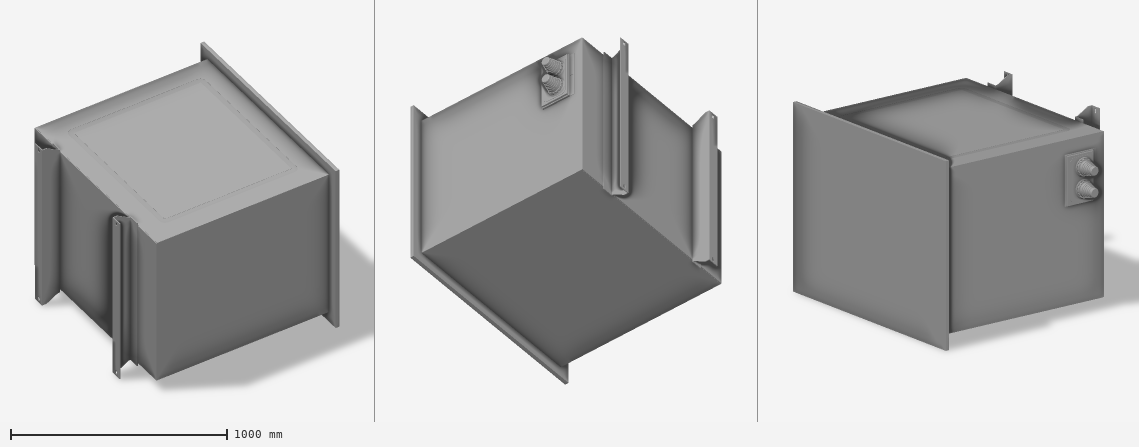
import cadquery as cq
import math

PLATE_WIDTH = 1150.0
PLATE_HEIGHT = 920.0
PLATE_THICKNESS = 20.0

BODY_WIDTH = 1035.0
BODY_HEIGHT = 806.0
OVERALL_DEPTH = 1071.2
CHANNEL_DEPTH = 100.0
SHEET_THICKNESS = 4.0
SHEET_INSET = 1.0
BODY_FRONT_Y = -(OVERALL_DEPTH - CHANNEL_DEPTH)
BODY_LENGTH = -BODY_FRONT_Y - PLATE_THICKNESS - SHEET_THICKNESS

ROOF_WIDTH = 830.0
ROOF_LENGTH = 755.0
ROOF_RADIUS = 30.0
ROOF_BORDER_X = 29.0
ROOF_BORDER_Y = 28.0
ROOF_GROOVE_DEPTH = 1.0
ROOF_CENTRE_Y = -490.5

CHANNEL_WEB_X = 300.0
CHANNEL_WIDTH = 60.0
CHANNEL_THICKNESS = 4.0
CHANNEL_OUTER_HEIGHT = 910.0
CHANNEL_INNER_FLAT = 12.0
CHANNEL_OUTER_FLAT = 25.0
CHANNEL_END_ANGLE = 30.0
SLOT_WIDTH = 12.0
SLOT_LENGTH = 24.0
SLOT_END_DISTANCE = 20.0

ENTRY_CENTRE_Z = 207.5
ENTRY_REAR_Y = -740.0
FRAME_WIDTH = 161.0
FRAME_HEIGHT = 249.0
FRAME_BASE_THICKNESS = 10.0
FRAME_STEP = 5.0
FRAME_TOP_THICKNESS = 10.0
PAD_WIDTH = 127.0
PAD_HEIGHT = 216.0
PAD_THICKNESS = 1.5
PAD_RADIUS = 20.0
PAD_REAR_Y = -760.0
STRIP_WIDTH = 23.0
STRIP_BASE_THICKNESS = 1.0
STRIP_LEAF_THICKNESS = 1.8
STRIP_MARGIN = 4.0
STRIP_GAP_SHIFT = 3.0

GROMMET_SPACING = 106.0
GROMMET_Y = -836.0
GROMMET_REACH = 106.8
TIP_RADIUS = 23.0
TIP_LENGTH = 16.0
TIP_CHAMFER = 3.0
STEP_LENGTH = 9.5
STEP_RISE = 2.6
STEP_COUNT = 5
COLLAR_RADIUS = 42.0
COLLAR_LENGTH = 15.0
FLANGE_RADIUS = 48.0
FLANGE_TOP_RADIUS = 44.0
FLANGE_LENGTH = 4.0
NOTCH_COUNT = 14
NOTCH_WIDTH = 9.0
NOTCH_DEPTH = 3.0
NOTCH_LENGTH = 10.0

SIDE_X = -BODY_WIDTH / 2
FRAME_FACE_X = SIDE_X - FRAME_BASE_THICKNESS - FRAME_TOP_THICKNESS
PAD_FACE_X = FRAME_FACE_X - PAD_THICKNESS
GROMMET_LENGTH = GROMMET_REACH - (SIDE_X - PAD_FACE_X)


def block(x_range, y_range, z_range):
    """Axis-aligned box given by its limits."""
    sizes = [high - low for low, high in (x_range, y_range, z_range)]
    corner = (x_range[0], y_range[0], z_range[0])
    return cq.Workplane("XY").box(*sizes, centered=False).translate(corner)


def wall_block(inner_x, thickness, y_range, height):
    """Box standing on the -X side, centred on the cable entry's height."""
    z_range = (ENTRY_CENTRE_Z - height / 2, ENTRY_CENTRE_Z + height / 2)
    return block((inner_x - thickness, inner_x), y_range, z_range)


def make_cabinet():
    half_width = BODY_WIDTH / 2
    half_height = BODY_HEIGHT / 2
    half_sheet = half_height - SHEET_INSET
    sheet_back_y = BODY_FRONT_Y + SHEET_THICKNESS
    plate = block(
        (-PLATE_WIDTH / 2, PLATE_WIDTH / 2),
        (-PLATE_THICKNESS, 0),
        (-PLATE_HEIGHT / 2, PLATE_HEIGHT / 2),
    )
    body = block(
        (-half_width, half_width),
        (sheet_back_y, sheet_back_y + BODY_LENGTH),
        (-half_height, half_height),
    )
    sheet = block((-half_width, half_width), (BODY_FRONT_Y, sheet_back_y), (-half_sheet, half_sheet))
    return plate.union(body).union(sheet)


def make_roof_groove():
    floor = cq.Workplane("XY", origin=(0, ROOF_CENTRE_Y, BODY_HEIGHT / 2 - ROOF_GROOVE_DEPTH))
    recess = floor.rect(ROOF_WIDTH, ROOF_LENGTH).extrude(ROOF_GROOVE_DEPTH).edges("|Z").fillet(ROOF_RADIUS)
    inner_width = ROOF_WIDTH - 2 * ROOF_BORDER_X
    inner_length = ROOF_LENGTH - 2 * ROOF_BORDER_Y
    return recess.cut(floor.rect(inner_width, inner_length).extrude(ROOF_GROOVE_DEPTH))


def make_channel():
    """Channel on the +X half: its web faces the centre and its flanges point outwards."""
    front_y = -OVERALL_DEPTH
    slope_start_y = BODY_FRONT_Y - CHANNEL_INNER_FLAT
    slope_end_y = front_y + CHANNEL_OUTER_FLAT
    slope_drop = (slope_start_y - slope_end_y) * math.tan(math.radians(CHANNEL_END_ANGLE))
    outer_z = CHANNEL_OUTER_HEIGHT / 2
    inner_z = outer_z - slope_drop
    upper_edge = [
        (BODY_FRONT_Y, inner_z),
        (slope_start_y, inner_z),
        (slope_end_y, outer_z),
        (front_y, outer_z),
    ]
    lower_edge = [(y, -z) for y, z in reversed(upper_edge)]
    side = cq.Workplane("YZ", origin=(CHANNEL_WEB_X, 0, 0))
    channel = side.polyline(upper_edge + lower_edge).close().extrude(CHANNEL_WIDTH)
    hollow = block(
        (CHANNEL_WEB_X + CHANNEL_THICKNESS, CHANNEL_WEB_X + CHANNEL_WIDTH),
        (front_y + CHANNEL_THICKNESS, BODY_FRONT_Y - CHANNEL_THICKNESS),
        (-outer_z, outer_z),
    )
    slot_z = outer_z - SLOT_END_DISTANCE
    slots = (
        cq.Workplane("XZ", origin=(CHANNEL_WEB_X + CHANNEL_WIDTH / 2, front_y + CHANNEL_THICKNESS, 0))
        .pushPoints([(0, slot_z), (0, -slot_z)])
        .slot2D(SLOT_LENGTH, SLOT_WIDTH, 90)
        .extrude(CHANNEL_THICKNESS)
    )
    return channel.cut(hollow).cut(slots)


def make_entry_frame():
    """Stepped frame with a rounded pad on top."""
    front_y = ENTRY_REAR_Y - FRAME_WIDTH
    base = wall_block(SIDE_X, FRAME_BASE_THICKNESS, (front_y, ENTRY_REAR_Y), FRAME_HEIGHT)
    top = wall_block(
        SIDE_X - FRAME_BASE_THICKNESS,
        FRAME_TOP_THICKNESS,
        (front_y + FRAME_STEP, ENTRY_REAR_Y - FRAME_STEP),
        FRAME_HEIGHT - 2 * FRAME_STEP,
    )
    pad = wall_block(FRAME_FACE_X, PAD_THICKNESS, (PAD_REAR_Y - PAD_WIDTH, PAD_REAR_Y), PAD_HEIGHT)
    return base.union(top).union(pad.edges("|X").fillet(PAD_RADIUS))


def make_entry_strip():
    """Thin strip in front of the frame carrying two leaves with a gap between them."""
    rear_y = ENTRY_REAR_Y - FRAME_WIDTH
    front_y = rear_y - STRIP_WIDTH
    strip = wall_block(SIDE_X, STRIP_BASE_THICKNESS, (front_y, rear_y), FRAME_HEIGHT)
    leaves = wall_block(SIDE_X, STRIP_LEAF_THICKNESS, (front_y + STRIP_MARGIN, rear_y), FRAME_HEIGHT)
    gap = wall_block(SIDE_X, STRIP_LEAF_THICKNESS, (front_y, rear_y), STRIP_MARGIN)
    gap = gap.translate((0, 0, -STRIP_GAP_SHIFT))
    return strip.union(leaves.cut(gap))


def make_grommet():
    """Stepped grommet along +Z with a notched collar and a conical flange at its base."""
    tip = cq.Workplane("XY").circle(TIP_RADIUS).extrude(GROMMET_LENGTH)
    grommet = tip.faces(">Z").chamfer(TIP_CHAMFER)
    for step in range(1, STEP_COUNT + 1):
        step_top = GROMMET_LENGTH - TIP_LENGTH - (step - 1) * STEP_LENGTH
        step_radius = TIP_RADIUS + step * STEP_RISE
        grommet = grommet.union(cq.Workplane("XY").circle(step_radius).extrude(step_top))
    collar = cq.Workplane("XY").circle(COLLAR_RADIUS).extrude(COLLAR_LENGTH)
    notches = (
        cq.Workplane("XY", origin=(0, 0, COLLAR_LENGTH - NOTCH_LENGTH))
        .polarArray(COLLAR_RADIUS, 0, 360, NOTCH_COUNT)
        .rect(2 * NOTCH_DEPTH, NOTCH_WIDTH)
        .extrude(NOTCH_LENGTH)
    )
    flange = (
        cq.Workplane("XY")
        .circle(FLANGE_RADIUS)
        .workplane(offset=FLANGE_LENGTH)
        .circle(FLANGE_TOP_RADIUS)
        .loft()
    )
    return grommet.union(collar.cut(notches)).union(flange)


result = make_cabinet().cut(make_roof_groove())

channel = make_channel()
result = result.union(channel).union(channel.mirror("YZ"))

result = result.union(make_entry_frame()).union(make_entry_strip())

grommet = make_grommet().rotate((0, 0, 0), (0, 1, 0), -90)
for side in (-1, 1):
    grommet_z = ENTRY_CENTRE_Z + side * GROMMET_SPACING / 2
    result = result.union(grommet.translate((PAD_FACE_X, GROMMET_Y, grommet_z)))